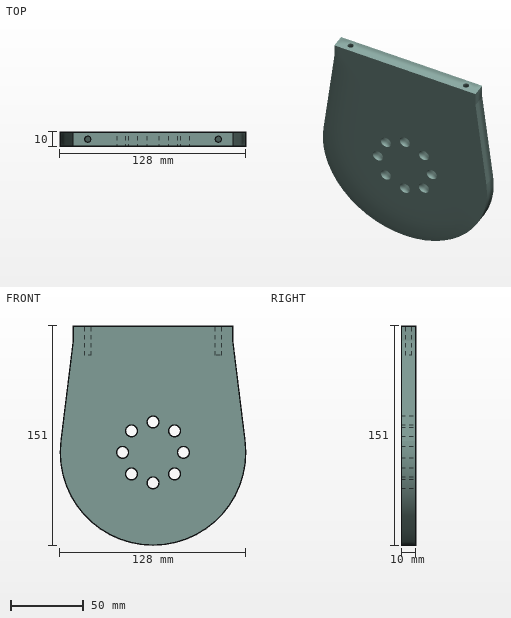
import cadquery as cq
import math

height = 151.0
round_diameter = 128.0
thickness = 10.0
top_width = 110.1
straight_side_height = 10.0

ring_hole_count = 8
ring_hole_diameter = 8.0
ring_radius = 21.0

edge_hole_diameter = 4.2
edge_hole_spacing = 90.0
edge_hole_depth = 20.0

round_radius = round_diameter / 2
top_z = height - round_radius
shoulder_x = top_width / 2
shoulder_z = top_z - straight_side_height


def tangent_point():
    """Point where the tapered side from the right shoulder touches the round end."""
    shoulder_distance = math.hypot(shoulder_x, shoulder_z)
    shoulder_angle = math.atan2(shoulder_z, shoulder_x)
    angle = shoulder_angle - math.acos(round_radius / shoulder_distance)
    return round_radius * math.cos(angle), round_radius * math.sin(angle)


def make_plate():
    tangent_x, tangent_z = tangent_point()
    return (
        cq.Workplane("XZ")
        .moveTo(-shoulder_x, top_z)
        .lineTo(shoulder_x, top_z)
        .lineTo(shoulder_x, shoulder_z)
        .lineTo(tangent_x, tangent_z)
        .threePointArc((0, -round_radius), (-tangent_x, tangent_z))
        .lineTo(-shoulder_x, shoulder_z)
        .close()
        .extrude(thickness / 2, both=True)
    )


def make_ring_holes():
    return (
        cq.Workplane("XZ")
        .polarArray(ring_radius, 0, 360, ring_hole_count)
        .circle(ring_hole_diameter / 2)
        .extrude(thickness, both=True)
    )


def make_edge_holes():
    return (
        cq.Workplane("XY", origin=(0, 0, top_z))
        .pushPoints([(-edge_hole_spacing / 2, 0), (edge_hole_spacing / 2, 0)])
        .circle(edge_hole_diameter / 2)
        .extrude(-edge_hole_depth)
    )


result = make_plate().cut(make_ring_holes()).cut(make_edge_holes())